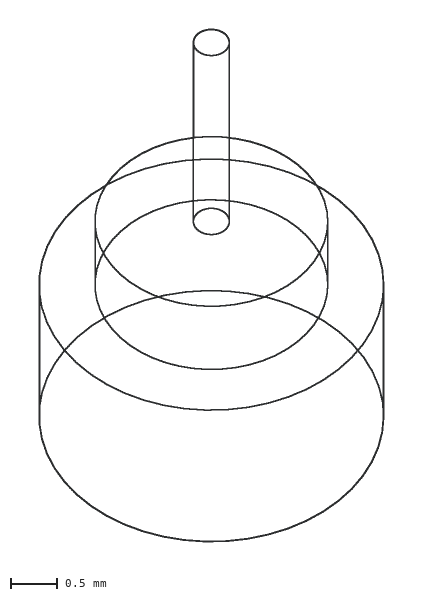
import cadquery as cq

total_height = 5.85

base_diameter = 3.7
base_height = 2.06

collar_diameter = 2.5
collar_height = 0.99

pin_diameter = 0.385
pin_height = total_height - base_height - collar_height


def stack_cylinder(body, diameter, height):
    """Add a centred cylinder on the top face of the body."""
    return body.faces(">Z").workplane().circle(diameter / 2).extrude(height)


base = cq.Workplane("XY").circle(base_diameter / 2).extrude(base_height)
base_with_collar = stack_cylinder(base, collar_diameter, collar_height)
result = stack_cylinder(base_with_collar, pin_diameter, pin_height)